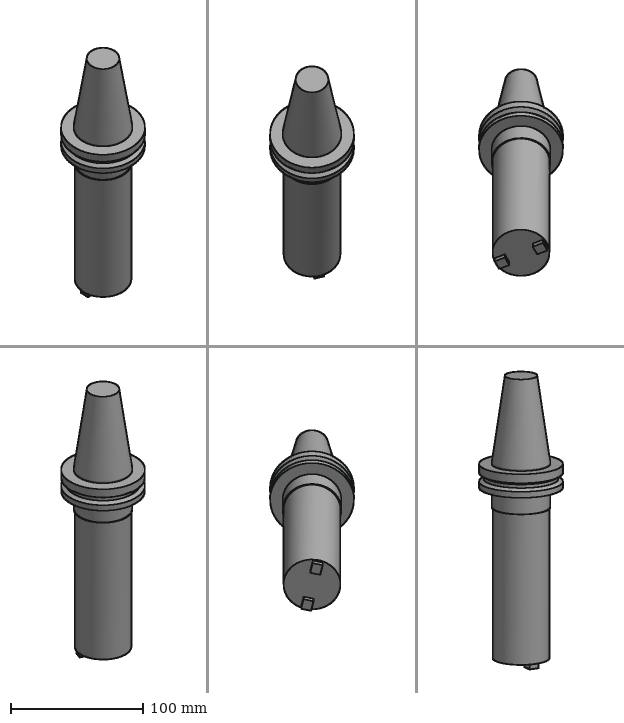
import cadquery as cq
import math

total_height = 224.6
key_height = 4.0
collar_bottom = 121.7
flange_bottom = 137.2
groove_bottom = 142.0
groove_top = 148.7
flange_top = 155.7
gauge_height = 156.8

body_radius = 21.5
gauge_radius = 22.2
flange_radius = 31.78
groove_radius = 28.3

taper_ratio = 7 / 24
tip_radius = gauge_radius - (total_height - gauge_height) * taper_ratio / 2

groove_wall_angle = math.radians(30)
groove_wall_rise = (flange_radius - groove_radius) * math.tan(groove_wall_angle)

key_width = 7.9
key_inner = 11.7
key_outer = 20.2


def turned_body():
    """Revolve the half profile of shank, flange and taper around Z."""
    profile = [
        (0, key_height),
        (body_radius, key_height),
        (body_radius, collar_bottom),
        (gauge_radius, collar_bottom),
        (gauge_radius, flange_bottom),
        (flange_radius, flange_bottom),
        (flange_radius, groove_bottom),
        (groove_radius, groove_bottom + groove_wall_rise),
        (groove_radius, groove_top - groove_wall_rise),
        (flange_radius, groove_top),
        (flange_radius, flange_top),
        (gauge_radius, flange_top),
        (gauge_radius, gauge_height),
        (tip_radius, total_height),
        (0, total_height),
    ]
    return cq.Workplane("XZ").polyline(profile).close().revolve(360, (0, 0), (0, 1))


def drive_keys():
    """Two opposite rectangular keys spaced along Y."""
    key_center = (key_inner + key_outer) / 2
    return (
        cq.Workplane("XY")
        .pushPoints([(0, -key_center), (0, key_center)])
        .rect(key_width, key_outer - key_inner)
        .extrude(key_height)
    )


result = turned_body().union(drive_keys())